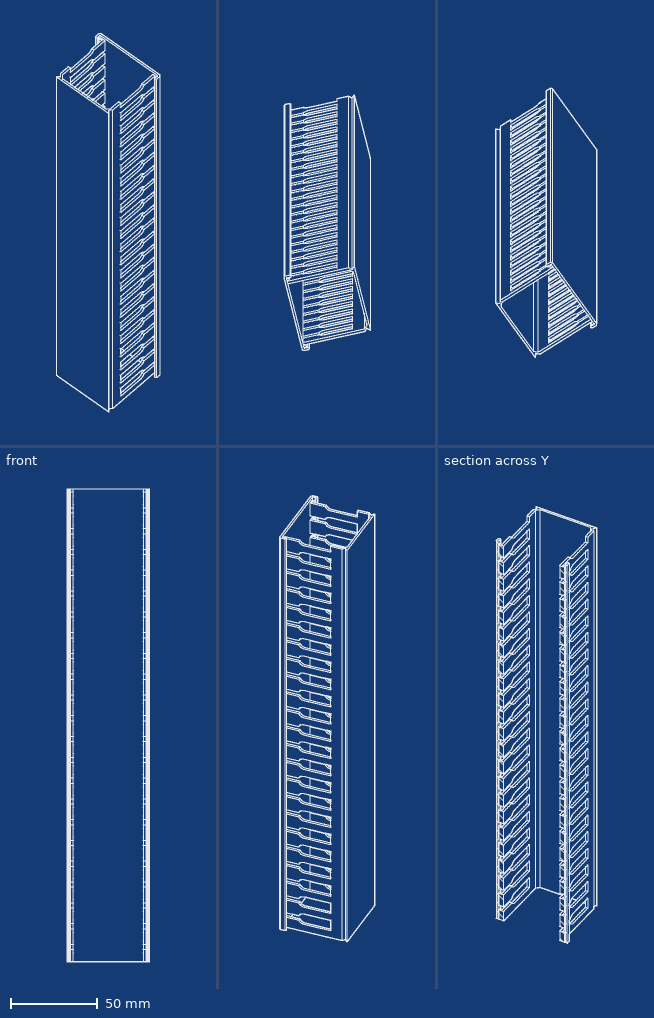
import cadquery as cq

length = 273
cover_width = 47.5
height = 41.2

cover_thickness = 1.5
cover_bevel = 0.8
leg_height = 4.5
leg_tip_bevel = 0.8
hook_reach = 1.0
leg_thickness = 1.5
hook_slope = 0.8

channel_width = 40.7
wall_thickness = 1.6
floor_thickness = 1.5
lip_reach = 1.6
lip_root_height = 0.5
notch_depth = 1.6
base_edge_height = 0.15
inner_bevel = 2.0

slot_count = 23
slot_row_length = 264.0
last_slot_offset = 0.4
slot_width = 7.0
slot_neck_width = 3.0
slot_floor_height = 10.5
shoulder_height = 27.0
neck_height = 30.3

half_cover = cover_width / 2
half_channel = channel_width / 2
wall_inner_x = half_channel - wall_thickness
wall_top = height - cover_thickness
slot_pitch = slot_row_length / (slot_count - 1)
first_slot_z = length - last_slot_offset - slot_row_length


def symmetric_profile(right_half):
    """Extrude along Z the closed outline made of a right half and its mirror image."""
    left_half = [(-x, y) for x, y in reversed(right_half)]
    return cq.Workplane("XY").polyline(right_half + left_half).close().extrude(length)


def lip_underside(x):
    """Height of the sloping lower face of the channel lip at a given X."""
    return wall_top - lip_root_height - hook_slope * (x - half_channel)


def make_cover():
    leg_bottom = height - leg_height
    leg_tip_x = half_cover - leg_tip_bevel
    leg_inner_x = half_cover - leg_thickness
    hook_x = leg_tip_x - hook_reach
    return symmetric_profile([
        (half_cover - cover_bevel, height),
        (half_cover, height - cover_bevel),
        (half_cover, leg_bottom + hook_slope * leg_tip_bevel),
        (leg_tip_x, leg_bottom),
        (hook_x, leg_bottom + hook_slope * hook_reach),
        (hook_x, lip_underside(hook_x)),
        (leg_inner_x, lip_underside(leg_inner_x)),
        (leg_inner_x, wall_top),
    ])


def make_channel_profile():
    lip_x = half_channel + lip_reach
    return symmetric_profile([
        (half_channel, 0),
        (half_channel, base_edge_height),
        (half_channel - notch_depth, base_edge_height + notch_depth),
        (half_channel, base_edge_height + 2 * notch_depth),
        (half_channel, lip_underside(half_channel)),
        (lip_x, lip_underside(lip_x)),
        (lip_x, wall_top),
        (wall_inner_x, wall_top),
        (wall_inner_x, floor_thickness + inner_bevel),
        (wall_inner_x - inner_bevel, floor_thickness),
    ])


def make_slot_cutter():
    """Slot through both walls, centred on Z = 0: a wide pocket with curved shoulders and a narrow neck."""
    half_slot = slot_width / 2
    half_neck = slot_neck_width / 2
    run = neck_height - shoulder_height
    rise = half_slot - half_neck
    radius = (run**2 + rise**2) / (2 * rise)
    mid_run = run / 2
    mid_z = half_slot - radius + (radius**2 - mid_run**2) ** 0.5
    return (
        cq.Workplane("YZ")
        .moveTo(slot_floor_height, -half_slot)
        .lineTo(shoulder_height, -half_slot)
        .threePointArc((shoulder_height + mid_run, -mid_z), (neck_height, -half_neck))
        .lineTo(height, -half_neck)
        .lineTo(height, half_neck)
        .lineTo(neck_height, half_neck)
        .threePointArc((shoulder_height + mid_run, mid_z), (shoulder_height, half_slot))
        .lineTo(slot_floor_height, half_slot)
        .close()
        .extrude(half_cover, both=True)
    )


def make_channel():
    channel = make_channel_profile()
    slot = make_slot_cutter()
    for i in range(slot_count):
        channel = channel.cut(slot.translate((0, 0, first_slot_z + i * slot_pitch)))
    return channel


cover = make_cover()
channel = make_channel()
result = cq.Compound.makeCompound([cover.solids().val(), channel.solids().val()])